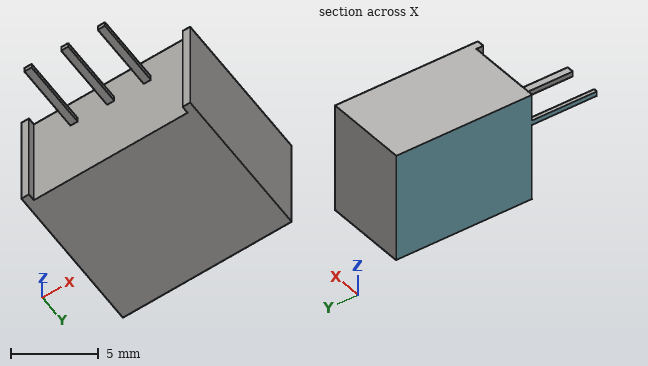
import cadquery as cq

width = 11.7
total_length = 14.2
height = 7.5

case_length = 10.11
rail_width = 0.53
rail_depth = 0.5

pin_count = 3
pin_pitch = 2.54
pin_width = 0.5
pin_thickness = 0.35
pin_drop = 2.02

rail_face_y = total_length - case_length
pin_face_y = rail_face_y + rail_depth
pin_z = height - pin_drop


def make_case():
    block = cq.Workplane("XY").box(width, case_length, height, centered=(True, False, False))
    recess = cq.Workplane("XY").box(
        width - 2 * rail_width, rail_depth, height, centered=(True, False, False)
    )
    return block.cut(recess).translate((0, rail_face_y, 0))


def make_pin(x):
    pin = cq.Workplane("XY").box(pin_width, pin_face_y, pin_thickness, centered=(True, False, True))
    return pin.translate((x, 0, pin_z))


result = make_case()
for index in range(pin_count):
    pin_x = (index - (pin_count - 1) / 2) * pin_pitch
    result = result.union(make_pin(pin_x))